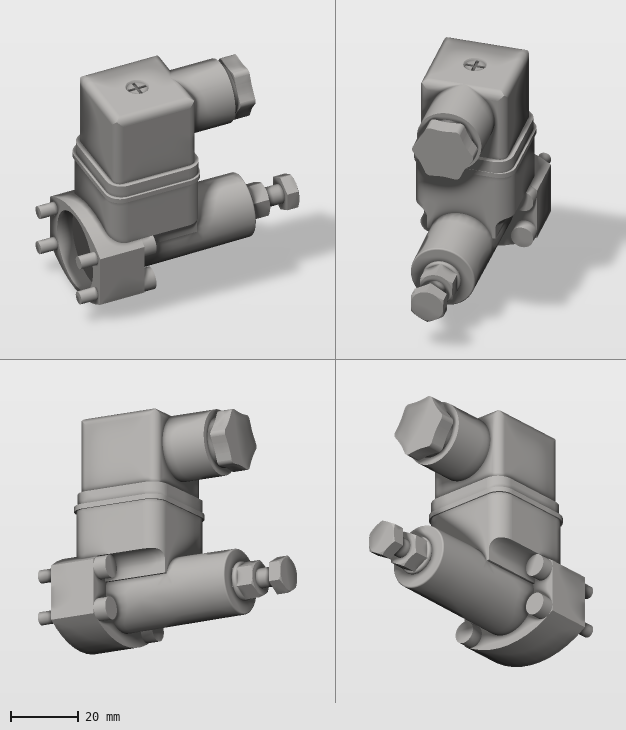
import cadquery as cq
import math


flange_width = 35.0
flange_height = 28.0
flange_side_height = 16.8
flange_length = 14.55
recess_radius = 12.5
recess_depth = 5.0

tube_end = 55.0
tube_root_radius = 10.25
tube_end_radius = 9.9
tube_end_fillet = 0.5

hex_flats = 10.0
hex_chamfer_angle = 30
collar_radius = 5.9
collar_length = 1.8
collar_rounding = 0.8
nut_end = 61.9
rod_radius = 3.0
head_start = 67.5
head_end = 71.5

screw_spacing_x = 28.0
screw_spacing_z = 12.9
screw_radius = 2.0
screw_tip = -5.5
screw_head_radius = 3.5
screw_head_length = 4.0

coil_width = 30.5
coil_depth = 29.95
coil_center_y = 20.2
coil_corner_radius = 5.0
rim_overhang = 0.5
rim_bottom = 25.1
rim_top = 26.65

plug_center_y = 20.5
plug_top = 54.0
plug_base_width = 29.95
plug_base_top = 30.6
plug_width = 26.9
plug_rounding = 2.5

gland_radius = 10.0
gland_end = 48.05
neck_radius = 7.7
neck_end = 50.0
knob_end = tube_end
gland_z = plug_top - gland_radius

knob_tips = 6
knob_tip_radius = 9.5
knob_tip_edge = 9.25
knob_tip_half_width = 0.85
knob_hollow_edge = 8.2
knob_hollow_half_width = 1.55
knob_hollow_bottom = 8.1

sink_top_radius = 3.55
sink_bottom_radius = 3.1
sink_depth = 0.55
slot_length = 5.85
slot_width = 1.1
slot_depth = 0.8


def cylinder_y(radius, start, end, x=0.0, z=0.0):
    """Cylinder along Y."""
    length = end - start
    return cq.Workplane(cq.Solid.makeCylinder(radius, length, cq.Vector(x, start, z), cq.Vector(0, 1, 0)))


def box_between(x_range, y_range, z_range):
    """Box given by its lower and upper limit on each axis."""
    sizes = [upper - lower for lower, upper in (x_range, y_range, z_range)]
    corner = cq.Vector(x_range[0], y_range[0], z_range[0])
    return cq.Workplane(cq.Solid.makeBox(*sizes, corner))


def rounded_block(width, depth, center_y, bottom, top, corner_radius):
    """Upright block with rounded vertical edges."""
    block = cq.Workplane("XY", origin=(0, center_y, bottom)).rect(width, depth).extrude(top - bottom)
    return block.edges("|Z").fillet(corner_radius)


def hex_along_y(start, end):
    """Hexagon with corners up and down and a conical chamfer on its +Y end."""
    corner_radius = hex_flats / math.sqrt(3)
    chamfer_radius = hex_flats / 2
    chamfer_length = (corner_radius - chamfer_radius) * math.tan(math.radians(hex_chamfer_angle))
    hex_sides = 6
    corners = []
    for index in range(hex_sides):
        angle = math.radians(90 + 360 / hex_sides * index)
        corners.append((corner_radius * math.cos(angle), corner_radius * math.sin(angle)))
    prism = cq.Workplane("XZ", origin=(0, start, 0)).polyline(corners).close().extrude(start - end)
    envelope = (
        cq.Workplane("XY")
        .moveTo(0, start)
        .lineTo(corner_radius, start)
        .lineTo(corner_radius, end - chamfer_length)
        .lineTo(chamfer_radius, end)
        .lineTo(0, end)
        .close()
        .revolve(360, (0, 0), (0, 1))
    )
    return prism.intersect(envelope)


def make_flange():
    half_width = flange_width / 2
    half_height = flange_height / 2
    half_side = flange_side_height / 2
    return (
        cq.Workplane("XZ")
        .moveTo(-half_width, -half_side)
        .threePointArc((0, -half_height), (half_width, -half_side))
        .lineTo(half_width, half_side)
        .threePointArc((0, half_height), (-half_width, half_side))
        .close()
        .extrude(-flange_length)
    )


def make_tube():
    tube = cq.Workplane(
        cq.Solid.makeCone(
            tube_root_radius,
            tube_end_radius,
            tube_end - flange_length,
            cq.Vector(0, flange_length, 0),
            cq.Vector(0, 1, 0),
        )
    )
    return tube.faces(">Y").edges().fillet(tube_end_fillet)


def make_adjuster():
    collar_end = tube_end + collar_length
    collar = cylinder_y(collar_radius, tube_end, collar_end).edges().fillet(collar_rounding)
    rod = cylinder_y(rod_radius, tube_end, head_start)
    return collar.union(hex_along_y(tube_end, nut_end)).union(rod).union(hex_along_y(head_start, head_end))


def make_coil():
    """Coil block with its rim, relieved underneath along the upper screw heads."""
    foot_bottom = screw_spacing_z / 2 - screw_head_radius
    coil = rounded_block(coil_width, coil_depth, coil_center_y, foot_bottom, rim_bottom, coil_corner_radius)
    rim = rounded_block(
        coil_width + 2 * rim_overhang,
        coil_depth + 2 * rim_overhang,
        coil_center_y,
        rim_bottom,
        rim_top,
        coil_corner_radius,
    )
    coil_back = coil_center_y + coil_depth / 2
    channel_y = (flange_length, coil_back)
    screw_z = screw_spacing_z / 2
    for side in (-1, 1):
        screw_x = side * screw_spacing_x / 2
        foot_side = screw_x - side * screw_head_radius
        outside = side * flange_width / 2
        channel = cylinder_y(screw_head_radius, *channel_y, screw_x, screw_z)
        below = box_between(sorted((foot_side, outside)), channel_y, (foot_bottom, screw_z))
        beside = box_between(sorted((screw_x, outside)), channel_y, (foot_bottom, screw_z + screw_head_radius))
        coil = coil.cut(channel).cut(below).cut(beside)
    return coil.union(rim)


def screw_places():
    """X and Z of the four flange screws."""
    places = []
    for x in (-screw_spacing_x / 2, screw_spacing_x / 2):
        for z in (-screw_spacing_z / 2, screw_spacing_z / 2):
            places.append((x, z))
    return places


def make_valve():
    valve = make_flange().union(make_tube()).union(make_coil()).union(make_adjuster())
    valve = valve.cut(cylinder_y(recess_radius, 0, recess_depth))
    for x, z in screw_places():
        valve = valve.cut(cylinder_y(screw_radius, 0, flange_length, x, z))
    return valve


def make_screw(x, z):
    shank = cylinder_y(screw_radius, screw_tip, flange_length, x, z)
    head = cylinder_y(screw_head_radius, flange_length, flange_length + screw_head_length, x, z)
    return shank.union(head)


def make_knob():
    side_angle = 360 / knob_tips

    def polar_point(angle, outward, sideways):
        """Point at a distance along a direction, shifted sideways from it."""
        turn = math.radians(angle)
        x = outward * math.cos(turn) - sideways * math.sin(turn)
        z = outward * math.sin(turn) + sideways * math.cos(turn)
        return x, z

    start = polar_point(0, knob_tip_edge, -knob_tip_half_width)
    outline = cq.Workplane("XZ", origin=(0, neck_end, gland_z)).moveTo(*start)
    for index in range(knob_tips):
        tip = index * side_angle
        side = tip + side_angle / 2
        outline = (
            outline.threePointArc(
                polar_point(tip, knob_tip_radius, 0), polar_point(tip, knob_tip_edge, knob_tip_half_width)
            )
            .lineTo(*polar_point(side, knob_hollow_edge, -knob_hollow_half_width))
            .threePointArc(
                polar_point(side, knob_hollow_bottom, 0),
                polar_point(side, knob_hollow_edge, knob_hollow_half_width),
            )
            .lineTo(*polar_point(tip + side_angle, knob_tip_edge, -knob_tip_half_width))
        )
    return outline.close().extrude(neck_end - knob_end)


def make_plug_housing():
    """Block whose top roundings meet in mitres, with rounded vertical edges."""
    block = rounded_block(plug_width, plug_width, plug_center_y, plug_base_top, plug_top, plug_rounding)
    mitred = cq.Workplane("XY", origin=(0, plug_center_y, plug_base_top)).rect(plug_width, plug_width)
    mitred = mitred.extrude(plug_top - plug_base_top).faces(">Z").edges().fillet(plug_rounding)
    return block.intersect(mitred)


def cut_cover_screw(plug):
    """Conical sink in the plug top with a cross slot in its floor."""
    down = cq.Vector(0, 0, -1)
    sink_center = cq.Vector(0, plug_center_y, plug_top)
    sink = cq.Workplane(cq.Solid.makeCone(sink_top_radius, sink_bottom_radius, sink_depth, sink_center, down))
    floor = cq.Workplane("XY", origin=(0, plug_center_y, plug_top - sink_depth))
    for size_x, size_y in ((slot_length, slot_width), (slot_width, slot_length)):
        plug = plug.cut(floor.rect(size_x, size_y).extrude(-slot_depth))
    return plug.cut(sink)


def make_plug():
    base = rounded_block(
        plug_base_width, plug_base_width, plug_center_y, rim_top, plug_base_top, coil_corner_radius
    )
    gland = cylinder_y(gland_radius, plug_center_y, gland_end, z=gland_z)
    neck = cylinder_y(neck_radius, gland_end, neck_end, z=gland_z)
    plug = base.union(make_plug_housing()).union(gland).union(neck).union(make_knob())
    return cut_cover_screw(plug)


valve = make_valve()
plug = make_plug()
screws = [make_screw(x, z) for x, z in screw_places()]

bodies = [body.solids().val() for body in (valve, plug, *screws)]
result = cq.Compound.makeCompound(bodies)